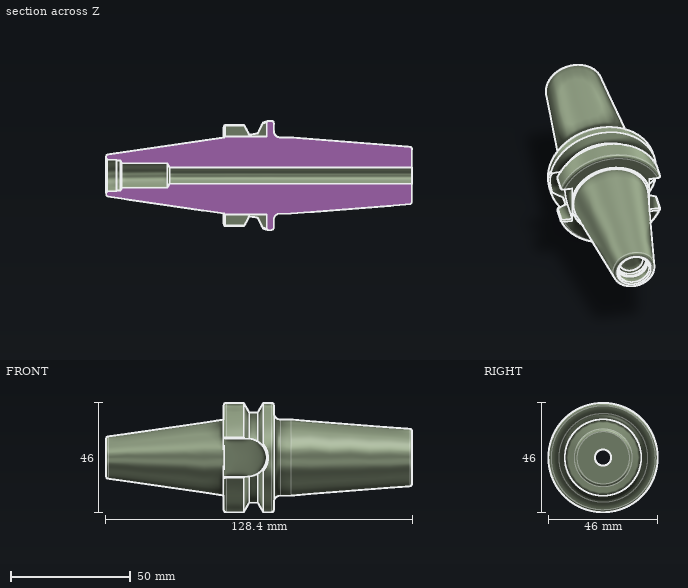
import cadquery as cq
import math

LENGTH = 128.4
EDGE_ROUND = 1.2

FLANGE_RADIUS = 23.0
FLANGE_FRONT = 49.3
FLANGE_REAR = 70.5
GROOVE_RADIUS = 19.0
GROOVE_START = 60.1
GROOVE_END = 63.7
GROOVE_HALF_ANGLE = math.radians(30)

TAPER_RADIUS = 32.0 / 2
TAPER_RATIO = 7 / 48
RELIEF_RADIUS = 16.8
RELIEF_DEPTH = 0.3

NECK_RADIUS = 16.0
NECK_FILLET = 2.6
CONE_START = 77.5
CONE_ANGLE = math.radians(4.5)

SLOT_HALF_WIDTH = 8.0
SLOT_FLOOR = 16.4
SLOT_ARC_CENTER = 59.5
SLOT_CHAMFER = 0.6

MOUTH_RADIUS = 7.2
PILOT_RADIUS = 13.1 / 2
PILOT_DEPTH = 4.2
ENTRY_RADIUS = 12.5 / 2
ENTRY_DEPTH = 6.0
THREAD_RADIUS = 10.1 / 2
THREAD_DEPTH = 25.7
THROUGH_RADIUS = 6.7 / 2
STEP_ANGLE = math.radians(60)

TOLERANCE = 0.01


def make_body():
    """Revolve the outer profile about the X axis."""
    groove_run = (FLANGE_RADIUS - GROOVE_RADIUS) * math.tan(GROOVE_HALF_ANGLE)
    front_radius = TAPER_RADIUS - FLANGE_FRONT * TAPER_RATIO
    rear_radius = NECK_RADIUS - (LENGTH - CONE_START) * math.tan(CONE_ANGLE)
    body = (
        cq.Workplane("XY")
        .moveTo(0, 0)
        .lineTo(0, front_radius)
        .lineTo(FLANGE_FRONT, TAPER_RADIUS)
        .lineTo(FLANGE_FRONT + RELIEF_DEPTH, TAPER_RADIUS)
        .lineTo(FLANGE_FRONT + RELIEF_DEPTH, RELIEF_RADIUS)
        .lineTo(FLANGE_FRONT, RELIEF_RADIUS)
        .lineTo(FLANGE_FRONT, FLANGE_RADIUS)
        .lineTo(GROOVE_START - groove_run, FLANGE_RADIUS)
        .lineTo(GROOVE_START, GROOVE_RADIUS)
        .lineTo(GROOVE_END, GROOVE_RADIUS)
        .lineTo(GROOVE_END + groove_run, FLANGE_RADIUS)
        .lineTo(FLANGE_REAR, FLANGE_RADIUS)
        .lineTo(FLANGE_REAR, NECK_RADIUS + NECK_FILLET)
        .radiusArc((FLANGE_REAR + NECK_FILLET, NECK_RADIUS), -NECK_FILLET)
        .lineTo(CONE_START, NECK_RADIUS)
        .lineTo(LENGTH, rear_radius)
        .lineTo(LENGTH, 0)
        .close()
        .revolve(360, (0, 0, 0), (1, 0, 0))
    )

    def is_rounded(edge):
        x = edge.Center().x
        radius = edge.radius() if edge.geomType() == "CIRCLE" else 0
        at_end = min(x, LENGTH - x) < TOLERANCE
        at_flange_face = min(abs(x - FLANGE_FRONT), abs(x - FLANGE_REAR)) < TOLERANCE
        on_flange = abs(radius - FLANGE_RADIUS) < TOLERANCE
        return radius > 0 and (at_end or (at_flange_face and on_flange))

    edges = [edge for edge in body.edges().vals() if is_rounded(edge)]
    return body.newObject(edges).fillet(EDGE_ROUND)


def make_slot(side):
    """Round-ended slot open to the front; side is -1 or +1 along Y."""
    return (
        cq.Workplane("XZ", origin=(0, side * SLOT_FLOOR, 0))
        .moveTo(FLANGE_FRONT, -SLOT_HALF_WIDTH)
        .lineTo(SLOT_ARC_CENTER, -SLOT_HALF_WIDTH)
        .threePointArc((SLOT_ARC_CENTER + SLOT_HALF_WIDTH, 0), (SLOT_ARC_CENTER, SLOT_HALF_WIDTH))
        .lineTo(FLANGE_FRONT, SLOT_HALF_WIDTH)
        .close()
        .extrude(-side * FLANGE_RADIUS)
    )


def chamfer_slots(body):
    """Break the slot edges on the flange front face and on the flange cylinder."""

    def is_slot_edge(edge):
        center = edge.Center()
        if abs(center.y) < SLOT_FLOOR + TOLERANCE or edge.IsClosed():
            return False
        on_wall = abs(abs(center.z) - SLOT_HALF_WIDTH) < TOLERANCE
        on_front = on_wall and abs(center.x - FLANGE_FRONT) < TOLERANCE
        middle = edge.positionAt(0.5)
        on_cylinder = abs(math.hypot(middle.y, middle.z) - FLANGE_RADIUS) < TOLERANCE
        return on_front or (on_cylinder and abs(middle.z) < SLOT_HALF_WIDTH + TOLERANCE)

    edges = [edge for edge in body.edges().vals() if is_slot_edge(edge)]
    return body.newObject(edges).chamfer(SLOT_CHAMFER)


def make_bore():
    """Revolve the stepped bore with conical transitions."""
    mouth_run = MOUTH_RADIUS - PILOT_RADIUS
    pilot_run = PILOT_RADIUS - ENTRY_RADIUS
    entry_run = (ENTRY_RADIUS - THREAD_RADIUS) / math.tan(STEP_ANGLE)
    drill_run = (THREAD_RADIUS - THROUGH_RADIUS) / math.tan(STEP_ANGLE)
    return (
        cq.Workplane("XY")
        .moveTo(0, 0)
        .lineTo(0, MOUTH_RADIUS)
        .lineTo(mouth_run, PILOT_RADIUS)
        .lineTo(PILOT_DEPTH, PILOT_RADIUS)
        .lineTo(PILOT_DEPTH + pilot_run, ENTRY_RADIUS)
        .lineTo(ENTRY_DEPTH, ENTRY_RADIUS)
        .lineTo(ENTRY_DEPTH + entry_run, THREAD_RADIUS)
        .lineTo(THREAD_DEPTH, THREAD_RADIUS)
        .lineTo(THREAD_DEPTH + drill_run, THROUGH_RADIUS)
        .lineTo(LENGTH, THROUGH_RADIUS)
        .lineTo(LENGTH, 0)
        .close()
        .revolve(360, (0, 0, 0), (1, 0, 0))
    )


body = make_body()
for side in (-1, 1):
    body = body.cut(make_slot(side))
body = chamfer_slots(body)
result = body.cut(make_bore())